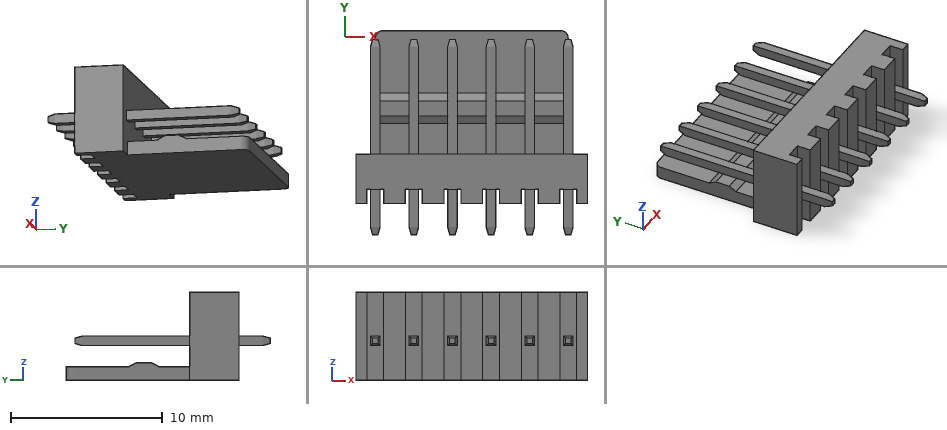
import cadquery as cq

pin_count = 6
pitch = 2.54
pin_width = 0.64
pin_tip_width = 0.36
pin_tip_length = 0.5
pin_height = 2.6
pin_front_reach = 2.05
pin_rear_reach = 7.55

housing_length = pin_count * pitch
housing_depth = 3.27
housing_height = 5.8
slot_width = 1.1
slot_depth = 0.95

tab_width = (pin_count - 1) * pitch
tab_length = 8.12
tab_thickness = 0.9
tab_corner_radius = 0.5

ridge_start = 2.0
ridge_base = 2.0
ridge_rise = 0.27
ridge_ramp = 0.5

pin_positions = [(i - (pin_count - 1) / 2) * pitch for i in range(pin_count)]


def make_housing():
    """Block with one full-height slot in its front face at each pin."""
    housing = cq.Workplane("XY").box(
        housing_length, housing_depth, housing_height, centered=(True, False, False)
    )
    for x in pin_positions:
        slot = (
            cq.Workplane("XY")
            .box(slot_width, slot_depth, housing_height, centered=(True, False, False))
            .translate((x, 0, 0))
        )
        housing = housing.cut(slot)
    return housing


def make_tab():
    """Flat tab with rounded rear corners and a trapezoidal latch ridge on top."""
    plate = (
        cq.Workplane("XY")
        .box(tab_width, tab_length, tab_thickness, centered=(True, False, False))
        .translate((0, housing_depth, 0))
        .edges("|Z and >Y")
        .fillet(tab_corner_radius)
    )
    ridge_front = housing_depth + ridge_start
    ridge_rear = ridge_front + ridge_base
    ridge_top = tab_thickness + ridge_rise
    ridge = (
        cq.Workplane("YZ")
        .polyline([
            (ridge_front, 0),
            (ridge_front, tab_thickness),
            (ridge_front + ridge_ramp, ridge_top),
            (ridge_rear - ridge_ramp, ridge_top),
            (ridge_rear, tab_thickness),
            (ridge_rear, 0),
        ])
        .close()
        .extrude(tab_width / 2, both=True)
    )
    return plate.union(ridge)


def make_pin(x):
    """Square pin through the housing with a tapered tip at each end."""
    shank_front = pin_tip_length - pin_front_reach
    shank_rear = housing_depth + pin_rear_reach - pin_tip_length
    shank = (
        cq.Workplane("XY")
        .box(pin_width, shank_rear - shank_front, pin_width, centered=(True, False, True))
        .translate((x, shank_front, pin_height))
    )
    return shank.union(make_tip(x, shank_front, -1)).union(make_tip(x, shank_rear, 1))


def make_tip(x, shank_end, direction):
    """Tapered tip from the end of a shank, pointing along +Y (1) or -Y (-1)."""
    end_plane = cq.Plane(origin=(x, shank_end, pin_height), xDir=(1, 0, 0), normal=(0, direction, 0))
    return (
        cq.Workplane(end_plane)
        .rect(pin_width, pin_width)
        .workplane(offset=pin_tip_length)
        .rect(pin_tip_width, pin_tip_width)
        .loft(ruled=True)
    )


result = make_housing().union(make_tab())
for pin_x in pin_positions:
    result = result.union(make_pin(pin_x))